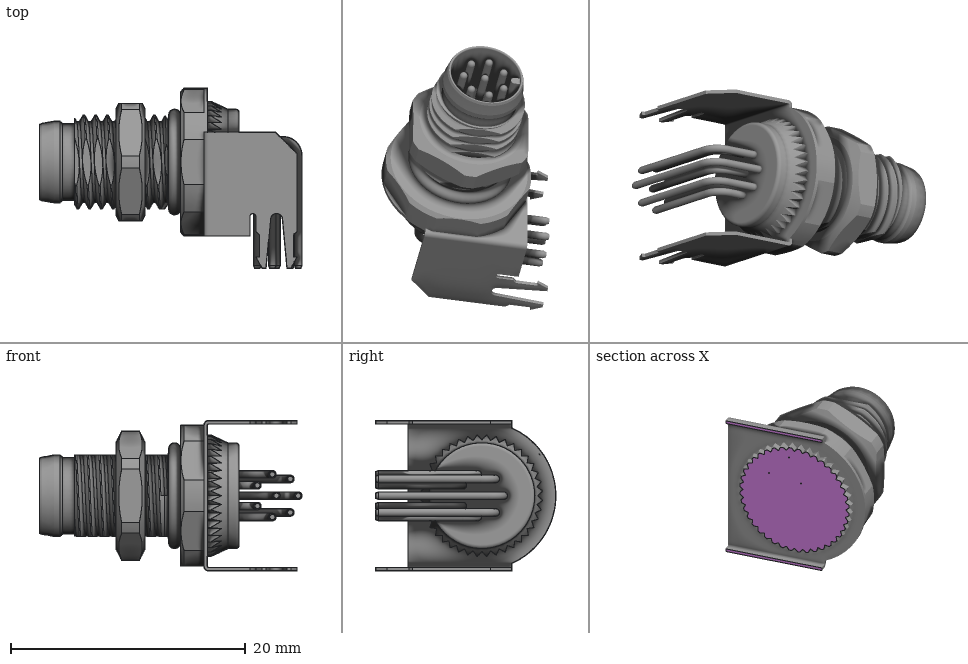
import cadquery as cq
import math


nose_tip_radius = 3.2
nose_edge_radius = 3.3
nose_radius = 3.48
neck_radius = 3.27
nose_edge_x = 0.23
nose_land_start_x = 1.26
nose_land_end_x = 1.73
neck_start_x = 1.98
socket_mouth_radius = 3.15
socket_throat_radius = 3.03
socket_lip_radius = socket_mouth_radius - socket_throat_radius
socket_floor_radius = 2.75
socket_depth = 5.0
key_start_x = 0.3
key_radius = 0.32
key_center_y = -2.55

thread_start_x = 3.0
thread_radius = 4.0
thread_pitch = 1.0
thread_root_radius = 3.45
thread_root_width = 0.25
thread_half_angle = 30
groove_overshoot = 0.05
thread_clearance = 1.0
groove_turns = 8.5
groove_end_x = 10.78
barrel_chamfer_x = 10.63
barrel_end_x = 10.95
barrel_flat_to_flat = 6.96
gland_radius = 3.6

nut_start_x = 6.5
nut_thickness = 2.5
nut_across_flats = 10.0
nut_corner_radius = 5.5
nut_face_radius = 4.5
nut_chamfer_length = 0.5
nut_bore_radius = 3.77

flange_start_x = 12.0
flange_thickness = 2.0
flange_across_flats = 12.0
flange_radius = 6.3
flange_face_radius = 5.95
flange_chamfer_length = 0.3
ring_section_radius = 0.5
ring_outer_radius = 4.5
ring_center_x = flange_start_x - ring_section_radius

sheet = 0.3
plate_x = flange_start_x + flange_thickness
plate_back_x = plate_x + sheet
bracket_height = 12.8
bend_radius = 0.4
bracket_bottom_y = -flange_radius
wing_top_y = 2.55
wing_corner_cut = 1.83

leg_center_x = 20.175
leg_half_width = 1.75
leg_end_y = -9.05
relief_width = 0.5
relief_top_y = -4.39
leg_slot_radius = 0.5
leg_slot_top_y = -4.38
leg_slot_end_half_width = 0.885
leg_waist_half_width = 1.43
leg_shoulder_y = -5.92
leg_waist_top_y = -6.22
barb_y = -8.08
leg_point_half_width = 1.23
wing_end_x = leg_center_x + leg_half_width

knurl_radius = 5.18
knurl_land_end_x = 14.6
cone_end_x = 15.9
cone_end_radius = 4.56
rear_radius = 4.5
rear_land_x = 16.05
rear_end_x = 17.0
rear_fillet = 0.3
knurl_count = 40
knurl_root_radius = 4.76

pin_radius = 0.325
pin_dome_radius = 0.315
pin_tip_x = 0.2
pin_circle_radius = 1.85
ring_pin_count = 7
ring_pin_step = 50.5
tail_bend_radius = 1.3
tail_chamfer_length = 0.25
tail_chamfer_width = 0.1



def revolve_about_x(profile):
    """Full revolution of a closed XY profile about the X axis."""
    return profile.revolve(360, (0, 0, 0), (1, 0, 0))


def cylinder(start_x, end_x, radius):
    return cq.Workplane("YZ").workplane(offset=start_x).circle(radius).extrude(end_x - start_x)


def hexagon(start_x, thickness, across_flats, first_corner_angle):
    """Hexagonal prism along X; the angle is measured from +Y toward +Z."""
    corner = across_flats / math.sqrt(3)
    angles = [math.radians(first_corner_angle + 60 * i) for i in range(6)]
    corners = [(corner * math.cos(a), corner * math.sin(a)) for a in angles]
    return cq.Workplane("YZ").workplane(offset=start_x).polyline(corners).close().extrude(thickness)


def make_nose():
    """Snap-in nose, with a neck that runs into the barrel."""
    return revolve_about_x(
        cq.Workplane("XY")
        .moveTo(0, 0)
        .lineTo(0, nose_tip_radius)
        .lineTo(nose_edge_x, nose_edge_radius)
        .lineTo(nose_land_start_x, nose_radius)
        .lineTo(nose_land_end_x, nose_radius)
        .lineTo(neck_start_x, neck_radius)
        .lineTo(thread_start_x, neck_radius)
        .lineTo(thread_start_x, 0)
        .close()
    )


def make_socket():
    """Tapered contact chamber with a rounded lip and the polarising key left standing."""
    lip_sagitta = socket_lip_radius * (1 - math.sqrt(0.5))
    lip_middle = (lip_sagitta, socket_throat_radius + lip_sagitta)
    chamber = revolve_about_x(
        cq.Workplane("XY")
        .moveTo(0, 0)
        .lineTo(0, socket_mouth_radius)
        .threePointArc(lip_middle, (socket_lip_radius, socket_throat_radius))
        .lineTo(socket_depth, socket_floor_radius)
        .lineTo(socket_depth, 0)
        .close()
    )
    key_length = socket_depth - key_start_x
    key_plane = cq.Workplane("YZ").workplane(offset=key_start_x)
    key_round = key_plane.center(key_center_y, 0).circle(key_radius).extrude(key_length)
    key_root_y = (key_center_y - socket_mouth_radius) / 2
    key_root = (
        key_plane.center(key_root_y, 0)
        .rect(socket_mouth_radius + key_center_y, 2 * key_radius)
        .extrude(key_length)
    )
    return chamber.cut(key_round).cut(key_root)


def make_thread_groove():
    """Right-handed helical groove with trapezoidal section, ending at -Y."""
    length = groove_turns * thread_pitch
    helix = cq.Wire.makeHelix(thread_pitch, length, thread_root_radius)
    depth = thread_radius + groove_overshoot - thread_root_radius
    root_half = thread_root_width / 2
    mouth_half = root_half + depth * math.tan(math.radians(thread_half_angle))
    mouth_radius = thread_root_radius + depth
    groove = (
        cq.Workplane("XZ")
        .moveTo(thread_root_radius, -root_half)
        .lineTo(mouth_radius, -mouth_half)
        .lineTo(mouth_radius, mouth_half)
        .lineTo(thread_root_radius, root_half)
        .close()
        .sweep(cq.Workplane(helix), isFrenet=True)
    )
    along_x = groove.rotate((0, 0, 0), (0, 1, 0), 90)
    end_angle = -90 - 360 * groove_turns
    ends_at_minus_y = along_x.rotate((0, 0, 0), (1, 0, 0), end_angle)
    return ends_at_minus_y.translate((groove_end_x - length, 0, 0))


def make_barrel():
    """Threaded barrel with two flats, and the plain gland the sealing ring sits on."""
    threaded = cylinder(thread_start_x, flange_start_x, thread_radius).cut(make_thread_groove())
    clear_radius = thread_radius + thread_clearance
    envelope = revolve_about_x(
        cq.Workplane("XY")
        .moveTo(thread_start_x, 0)
        .lineTo(thread_start_x, clear_radius)
        .lineTo(barrel_chamfer_x, clear_radius)
        .lineTo(barrel_chamfer_x, thread_radius)
        .lineTo(barrel_end_x, gland_radius)
        .lineTo(barrel_end_x, 0)
        .close()
    )
    flats = (
        cq.Workplane("YZ")
        .workplane(offset=thread_start_x)
        .rect(2 * clear_radius, barrel_flat_to_flat)
        .extrude(barrel_end_x - thread_start_x)
    )
    gland = cylinder(barrel_end_x, flange_start_x, gland_radius)
    return threaded.intersect(envelope).intersect(flats).union(gland)


def make_nut():
    end_x = nut_start_x + nut_thickness
    envelope = revolve_about_x(
        cq.Workplane("XY")
        .moveTo(nut_start_x, nut_bore_radius)
        .lineTo(nut_start_x, nut_face_radius)
        .lineTo(nut_start_x + nut_chamfer_length, nut_corner_radius)
        .lineTo(end_x - nut_chamfer_length, nut_corner_radius)
        .lineTo(end_x, nut_face_radius)
        .lineTo(end_x, nut_bore_radius)
        .close()
    )
    return hexagon(nut_start_x, nut_thickness, nut_across_flats, 30).intersect(envelope)


def make_flange():
    envelope = revolve_about_x(
        cq.Workplane("XY")
        .moveTo(flange_start_x, 0)
        .lineTo(flange_start_x, flange_face_radius)
        .lineTo(flange_start_x + flange_chamfer_length, flange_radius)
        .lineTo(plate_x, flange_radius)
        .lineTo(plate_x, 0)
        .close()
    )
    return hexagon(flange_start_x, flange_thickness, flange_across_flats, 0).intersect(envelope)


def make_sealing_ring():
    section = cq.Workplane("XY").center(ring_center_x, ring_outer_radius - ring_section_radius)
    return section.circle(ring_section_radius).revolve(
        360,
        (-ring_center_x, ring_section_radius - ring_outer_radius, 0),
        (1 - ring_center_x, ring_section_radius - ring_outer_radius, 0),
    )


def make_leg_gap():
    """Slot between the two legs, round at the top and widening downward."""
    round_y = leg_slot_top_y - leg_slot_radius
    return (
        cq.Workplane("XY")
        .moveTo(leg_center_x - leg_slot_radius, round_y)
        .threePointArc(
            (leg_center_x, leg_slot_top_y),
            (leg_center_x + leg_slot_radius, round_y),
        )
        .lineTo(leg_center_x + leg_slot_end_half_width, leg_end_y)
        .lineTo(leg_center_x - leg_slot_end_half_width, leg_end_y)
        .close()
        .extrude(bracket_height / 2, both=True)
    )


def make_leg_outer_cut(side):
    """Material removed outside one leg; side is -1 for the plate side and +1 for the far side."""

    def x_at(half_width):
        return leg_center_x + side * half_width

    outside = leg_half_width + relief_width
    return (
        cq.Workplane("XY")
        .moveTo(x_at(leg_half_width), leg_shoulder_y)
        .lineTo(x_at(leg_waist_half_width), leg_waist_top_y)
        .lineTo(x_at(leg_waist_half_width), barb_y)
        .lineTo(x_at(leg_half_width), barb_y)
        .lineTo(x_at(leg_point_half_width), leg_end_y)
        .lineTo(x_at(outside), leg_end_y)
        .lineTo(x_at(outside), leg_shoulder_y)
        .close()
        .extrude(bracket_height / 2, both=True)
    )


def make_relief_cut():
    """Round-ended relief between the wing's lower edge and the first leg."""
    right_x = leg_center_x - leg_half_width
    radius = relief_width / 2
    round_y = relief_top_y - radius
    return (
        cq.Workplane("XY")
        .moveTo(right_x - relief_width, round_y)
        .threePointArc((right_x - radius, relief_top_y), (right_x, round_y))
        .lineTo(right_x, leg_end_y)
        .lineTo(right_x - relief_width, leg_end_y)
        .close()
        .extrude(bracket_height / 2, both=True)
    )


def make_wing_outline():
    relief_left_x = leg_center_x - leg_half_width - relief_width
    return (
        cq.Workplane("XY")
        .moveTo(plate_x, wing_top_y)
        .lineTo(wing_end_x - wing_corner_cut, wing_top_y)
        .lineTo(wing_end_x, wing_top_y - wing_corner_cut)
        .lineTo(wing_end_x, leg_end_y)
        .lineTo(relief_left_x, leg_end_y)
        .lineTo(relief_left_x, bracket_bottom_y)
        .lineTo(plate_x, bracket_bottom_y)
        .close()
        .extrude(bracket_height / 2, both=True)
    )


def make_bracket():
    """U-shaped bracket: plate behind the flange and two wings with legs."""
    wing_length = wing_end_x - plate_x
    blank_height = wing_top_y - leg_end_y
    outer = (
        cq.Workplane("XY")
        .box(wing_length, blank_height, bracket_height, centered=(False, False, True))
        .translate((plate_x, leg_end_y, 0))
        .edges("<X and |Y")
        .fillet(bend_radius)
    )
    inner = (
        cq.Workplane("XY")
        .box(wing_length, blank_height, bracket_height - 2 * sheet, centered=(False, False, True))
        .translate((plate_back_x, leg_end_y, 0))
        .edges("<X and |Y")
        .fillet(bend_radius - sheet)
    )
    bracket = outer.cut(inner).intersect(make_wing_outline())
    bracket = bracket.cut(make_leg_gap()).cut(make_relief_cut())
    for side in (-1, 1):
        bracket = bracket.cut(make_leg_outer_cut(side))
    disc = cylinder(plate_x, plate_back_x, flange_radius)
    between_bends = cq.Workplane("XY").box(
        2 * plate_back_x, 2 * flange_radius, bracket_height - 2 * bend_radius
    )
    return bracket.union(disc.intersect(between_bends))


def make_rear_housing():
    """Housing behind the bracket; V grooves knurl the cone."""
    housing = revolve_about_x(
        cq.Workplane("XY")
        .moveTo(plate_back_x, 0)
        .lineTo(plate_back_x, knurl_radius)
        .lineTo(knurl_land_end_x, knurl_radius)
        .lineTo(cone_end_x, cone_end_radius)
        .lineTo(rear_land_x, rear_radius)
        .lineTo(rear_end_x, rear_radius)
        .lineTo(rear_end_x, 0)
        .close()
    )
    housing = housing.faces(">X").edges().fillet(rear_fillet)
    half_width = knurl_radius * math.tan(math.pi / knurl_count)
    groove = (
        cq.Workplane("YZ")
        .workplane(offset=plate_back_x)
        .moveTo(knurl_root_radius, 0)
        .lineTo(knurl_radius, half_width)
        .lineTo(knurl_radius, -half_width)
        .close()
        .extrude(cone_end_x - plate_back_x)
    )
    step = 360 / knurl_count
    grooves = [groove.rotate((0, 0, 0), (1, 0, 0), i * step).val() for i in range(knurl_count)]
    return housing.cut(cq.Workplane("XY").newObject([cq.Compound.makeCompound(grooves)]))


def make_pin_front(y, z):
    """Round-tipped contact standing in the socket."""
    length = socket_depth - pin_tip_x
    shank = cq.Workplane("YZ").workplane(offset=pin_tip_x).circle(pin_radius).extrude(length)
    domed = shank.faces("<X").edges().fillet(pin_dome_radius)
    return domed.translate((0, y, z))


def make_pin_tail(y, z):
    """Tail that leaves the housing along X and bends down to -Y."""
    drop_x = leg_center_x + y
    start_x = rear_end_x - tail_bend_radius
    bend_x = drop_x - tail_bend_radius
    bend_y = y - tail_bend_radius
    diagonal = tail_bend_radius * math.sqrt(0.5)
    path = (
        cq.Workplane("XY", origin=(0, 0, z))
        .moveTo(start_x, y)
        .lineTo(bend_x, y)
        .threePointArc((bend_x + diagonal, bend_y + diagonal), (drop_x, bend_y))
        .lineTo(drop_x, leg_end_y)
    )
    tail = cq.Workplane("YZ", origin=(start_x, y, z)).circle(pin_radius).sweep(path)
    return tail.faces("<Y").chamfer(tail_chamfer_length, tail_chamfer_width)


def pin_positions():
    """One pin on the axis; the others on a circle, with a gap at the key."""
    first = -ring_pin_step * (ring_pin_count - 1) / 2
    angles = [math.radians(first + ring_pin_step * i) for i in range(ring_pin_count)]
    on_circle = [(pin_circle_radius * math.cos(a), pin_circle_radius * math.sin(a)) for a in angles]
    return [(0, 0)] + on_circle


pins = cq.Workplane("XY")
for pin_y, pin_z in pin_positions():
    pins = pins.add(make_pin_front(pin_y, pin_z)).add(make_pin_tail(pin_y, pin_z))

front = make_nose().union(make_barrel()).cut(make_socket()).union(make_nut())
rear = make_flange().union(make_bracket()).union(make_rear_housing()).union(make_sealing_ring())

result = rear.union(front).union(pins)